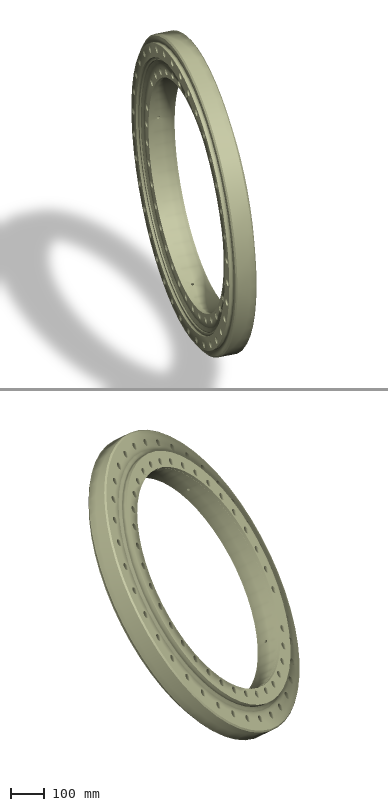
import cadquery as cq
import math


PITCH_RADIUS = 412.0
RING_CLEARANCE = 3.0
OUTER_BORE_RADIUS = PITCH_RADIUS + RING_CLEARANCE / 2
INNER_OUTSIDE_RADIUS = PITCH_RADIUS - RING_CLEARANCE / 2
BOLT_OFFSET = 35.5
FLANGE_OFFSET = 54.0
SEAL_OFFSET = 12.0
FLANGE_RADIUS = PITCH_RADIUS + FLANGE_OFFSET
BORE_RADIUS = PITCH_RADIUS - FLANGE_OFFSET

TOTAL_WIDTH = 100.0
OUTER_RING_BACK = 79.0
INNER_RING_FRONT = 18.0

RIM_RADIUS = 489.5
RIM_FRONT = 13.5
RIM_CHAMFER = 4.5
FACE_STEP_RADIUS = 422.5
FACE_STEP_DEPTH = 8.0

BORE_RECESS_DEPTH = 10.0
BORE_RECESS_STEP = 0.5

SEAL_HEIGHT = 5.0
SEAL_LAND = 2.5

BOLT_HOLES = 36
BOLT_PITCH = 360.0 / BOLT_HOLES
BOLT_HOLE_DIAMETER = 22.0
SKIPPED_INNER_BOLT = 16
GREASE_HOLES = 4
GREASE_PITCH = 360.0 / GREASE_HOLES
GREASE_HOLE_DIAMETER = 10.0
GREASE_HOLE_Y = (INNER_RING_FRONT + OUTER_RING_BACK) / 2
GREASE_START_ANGLE = -BOLT_PITCH / 2


def revolve_about_axis(section):
    """Turn a closed section of (radius, y) points once around the Y axis."""
    return cq.Workplane("XY").polyline(section).close().revolve(360, (0, 0, 0), (0, 1, 0))


def bolt_holes(circle_radius, skipped=()):
    """Through-bolt cylinders on a circle, numbered counterclockwise from +X."""
    angles = [math.radians(i * BOLT_PITCH) for i in range(BOLT_HOLES) if i not in skipped]
    centres = [(circle_radius * math.cos(a), circle_radius * math.sin(a)) for a in angles]
    return cq.Workplane("XZ").pushPoints(centres).circle(BOLT_HOLE_DIAMETER / 2).extrude(-TOTAL_WIDTH)


def make_outer_ring():
    ring = revolve_about_axis([
        (FACE_STEP_RADIUS, 0),
        (FLANGE_RADIUS, 0),
        (FLANGE_RADIUS, RIM_FRONT),
        (RIM_RADIUS - RIM_CHAMFER, RIM_FRONT),
        (RIM_RADIUS, RIM_FRONT + RIM_CHAMFER),
        (RIM_RADIUS, OUTER_RING_BACK - RIM_CHAMFER),
        (RIM_RADIUS - RIM_CHAMFER, OUTER_RING_BACK),
        (OUTER_BORE_RADIUS, OUTER_RING_BACK),
        (OUTER_BORE_RADIUS, FACE_STEP_DEPTH),
        (FACE_STEP_RADIUS, FACE_STEP_DEPTH),
    ])
    return ring.cut(bolt_holes(PITCH_RADIUS + BOLT_OFFSET))


def grease_hole(angle):
    """Radial cylinder through the inner ring midway along the overlap of the two rings."""
    direction = cq.Vector(math.cos(math.radians(angle)), 0, math.sin(math.radians(angle)))
    start = cq.Vector(0, GREASE_HOLE_Y, 0)
    return cq.Solid.makeCylinder(GREASE_HOLE_DIAMETER / 2, PITCH_RADIUS, start, direction)


def make_inner_ring():
    ring = revolve_about_axis([
        (BORE_RADIUS, INNER_RING_FRONT),
        (INNER_OUTSIDE_RADIUS, INNER_RING_FRONT),
        (INNER_OUTSIDE_RADIUS, TOTAL_WIDTH),
        (BORE_RADIUS + BORE_RECESS_STEP, TOTAL_WIDTH),
        (BORE_RADIUS + BORE_RECESS_STEP, TOTAL_WIDTH - BORE_RECESS_DEPTH),
        (BORE_RADIUS, TOTAL_WIDTH - BORE_RECESS_DEPTH),
    ])
    ring = ring.cut(bolt_holes(PITCH_RADIUS - BOLT_OFFSET, skipped=[SKIPPED_INNER_BOLT]))
    for i in range(GREASE_HOLES):
        ring = ring.cut(cq.Workplane(grease_hole(GREASE_START_ANGLE + i * GREASE_PITCH)))
    return ring


def make_front_seal():
    """Wedge on the front of the inner ring, against the bore of the outer ring."""
    return revolve_about_axis([
        (PITCH_RADIUS - SEAL_OFFSET, INNER_RING_FRONT),
        (OUTER_BORE_RADIUS, INNER_RING_FRONT),
        (OUTER_BORE_RADIUS, INNER_RING_FRONT - SEAL_HEIGHT),
        (OUTER_BORE_RADIUS - SEAL_LAND, INNER_RING_FRONT - SEAL_HEIGHT),
    ])


def make_back_seal():
    """Wedge on the back of the outer ring, against the outside of the inner ring."""
    return revolve_about_axis([
        (PITCH_RADIUS + SEAL_OFFSET, OUTER_RING_BACK),
        (INNER_OUTSIDE_RADIUS, OUTER_RING_BACK),
        (INNER_OUTSIDE_RADIUS, OUTER_RING_BACK + SEAL_HEIGHT),
        (INNER_OUTSIDE_RADIUS + SEAL_LAND, OUTER_RING_BACK + SEAL_HEIGHT),
    ])


outer_ring = make_outer_ring()
inner_ring = make_inner_ring()
front_seal = make_front_seal()
back_seal = make_back_seal()

result = cq.Compound.makeCompound([outer_ring.val(), inner_ring.val(), front_seal.val(), back_seal.val()])